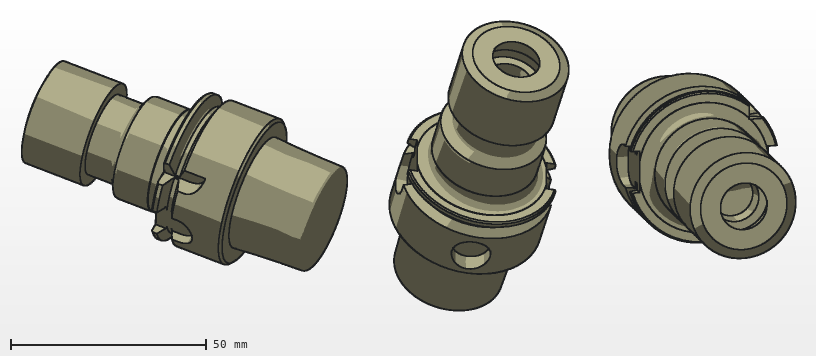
import cadquery as cq
import math

length = 80.0

nut_radius = 14.0
nut_length = 17.4
nose_edge_radius = 11.6
nose_edge_break = 0.2
nose_chamfer = 0.8

neck_radius = 22.0 / 2
neck_end = 24.4
neck_fillet = 1.0
collar_cone_angle = 60.0
collar_radius = 14.0
collar_shoulder_radius = 13.8
collar_start = 27.2
collar_end = 36.5
relief_radius = 13.9
relief_step = 0.2

flange_radius = 20.0
flange_start = 40.2
flange_end = 60.2
front_chamfer = 0.4
rear_chamfer = 0.7
face_recess_radius = 17.2
face_recess_depth = 0.2
root_fillet = 2.2

groove_radius = 17.4
groove_floor_start = 43.0
groove_floor_end = 44.7
groove_front_width = 1.3
groove_rear_width = 1.3
groove_corner = 0.4

taper_large_radius = 15.2
taper_middle = 69.6
taper_middle_radius = 14.6
taper_small_radius = 14.28
taper_end_fillet = 0.8

mouth_radius = 6.2
recess_radius = 8.6
recess_taper_depth = 5.7
recess_depth = 8.3
bore_entry_depth = 3.7
bore_radius = 11.0 / 2
drill_point_angle = 118.0

slot_floor = 17.0
slot_end = 52.0
narrow_slot_width = 9.1
wide_slot_width = 11.0
cutter_radius = 4.4
notch_offset = 12.0

pocket_x = 52.9
pocket_diameter = 10.0
pocket_depth = 4.5


def make_body():
    """Revolve the outer profile; each point is (x, radius)."""
    cone = math.radians(collar_cone_angle)
    cone_turn_x = neck_end + neck_fillet * math.sin(cone)
    cone_turn_r = neck_radius + neck_fillet * (1 - math.cos(cone))
    cone_mid_x = neck_end + neck_fillet * math.sin(cone / 2)
    cone_mid_r = neck_radius + neck_fillet * (1 - math.cos(cone / 2))
    cone_end_x = cone_turn_x + (collar_shoulder_radius - cone_turn_r) / math.tan(cone)

    recess_x = flange_start + face_recess_depth
    root_x = recess_x - root_fillet
    root_r = relief_radius + root_fillet
    diagonal = root_fillet * math.sqrt(0.5)

    profile = (
        cq.Workplane("XY")
        .moveTo(0, 0)
        .lineTo(0, nose_edge_radius - nose_edge_break)
        .lineTo(nose_edge_break / 2, nose_edge_radius)
        .lineTo(nose_chamfer, nut_radius)
        .lineTo(nut_length, nut_radius)
        .lineTo(nut_length, neck_radius)
        .lineTo(neck_end, neck_radius)
        .threePointArc((cone_mid_x, cone_mid_r), (cone_turn_x, cone_turn_r))
        .lineTo(cone_end_x, collar_shoulder_radius)
        .lineTo(collar_start, collar_radius)
        .lineTo(collar_end, collar_radius)
        .lineTo(collar_end + relief_step, relief_radius)
        .lineTo(root_x, relief_radius)
        .threePointArc((root_x + diagonal, root_r - diagonal), (recess_x, root_r))
        .lineTo(recess_x, face_recess_radius)
        .lineTo(flange_start, face_recess_radius)
        .lineTo(flange_start, flange_radius - front_chamfer)
        .lineTo(flange_start + front_chamfer, flange_radius)
        .lineTo(groove_floor_start - groove_front_width, flange_radius)
        .lineTo(groove_floor_start, groove_radius + groove_corner)
        .lineTo(groove_floor_start + groove_corner, groove_radius)
        .lineTo(groove_floor_end, groove_radius)
        .lineTo(groove_floor_end + groove_rear_width, flange_radius)
        .lineTo(flange_end - rear_chamfer, flange_radius)
        .lineTo(flange_end, flange_radius - rear_chamfer)
        .lineTo(flange_end, taper_large_radius)
        .threePointArc((taper_middle, taper_middle_radius), (length, taper_small_radius))
        .lineTo(length, 0)
        .close()
    )
    body = profile.revolve(360, (0, 0, 0), (1, 0, 0))
    return body.faces(">X").edges().fillet(taper_end_fillet)


def make_bore():
    """Recess widening inward to a flat floor, then a tapered hole with a drill point."""
    bore_bottom = recess_depth + bore_entry_depth
    point_length = bore_radius / math.tan(math.radians(drill_point_angle / 2))
    profile = (
        cq.Workplane("XY")
        .moveTo(0, 0)
        .lineTo(0, mouth_radius)
        .lineTo(recess_taper_depth, recess_radius)
        .lineTo(recess_depth, recess_radius)
        .lineTo(recess_depth, mouth_radius)
        .lineTo(bore_bottom, bore_radius)
        .lineTo(bore_bottom + point_length, 0)
        .close()
    )
    return profile.revolve(360, (0, 0, 0), (1, 0, 0))


def make_narrow_slot():
    """Flat-floored slot on the -Y side with a full-round end."""
    slot_length = slot_end - flange_start + narrow_slot_width
    outline = (
        cq.Workplane("XZ", origin=(0, -slot_floor, 0))
        .center(slot_end - slot_length / 2, 0)
        .slot2D(slot_length, narrow_slot_width)
    )
    return outline.extrude(flange_radius - slot_floor)


def make_wide_slot():
    """Flat-floored slot on the +Y side with rounded corners at its end."""
    slot_length = slot_end - flange_start
    slot_depth = flange_radius - slot_floor
    center = (flange_start + slot_length / 2, slot_floor + slot_depth / 2, 0)
    block = cq.Workplane("XY").box(slot_length, slot_depth, wide_slot_width).translate(center)
    return block.edges("|Y and >X").fillet(cutter_radius)


def make_notch():
    """Corner notch on the -Y, +Z quadrant with a rounded run-out at its end."""
    size = flange_radius - notch_offset
    block = cq.Workplane("XY").box(slot_end - flange_start, size, size, centered=False)
    block = block.edges("|Y and >X and <Z").fillet(cutter_radius)
    return block.translate((flange_start, -flange_radius, notch_offset))


def make_pocket():
    """Flat-bottomed radial pocket opening downward."""
    base = cq.Workplane("XY", origin=(pocket_x, 0, -flange_radius))
    return base.circle(pocket_diameter / 2).extrude(pocket_depth)


result = make_body()
for cutter in (make_bore(), make_narrow_slot(), make_wide_slot(), make_notch(), make_pocket()):
    result = result.cut(cutter)